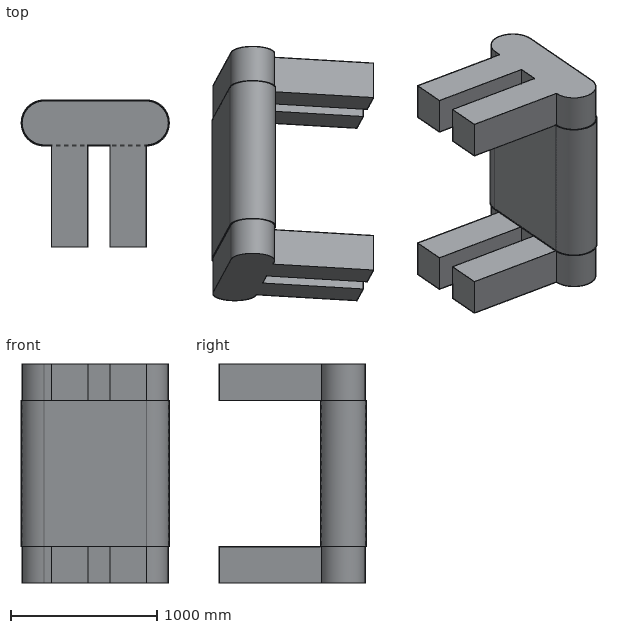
import cadquery as cq

total_height = 1500.0
sleeve_width = 1014.0
sleeve_thickness = 7.0
core_thickness = 300.0
arm_width = 250.0
arm_height = 250.0
arm_gap = 150.0

core_width = sleeve_width - 2 * sleeve_thickness
core_reach = core_width
arm_tip_y = core_thickness / 2 - core_reach
sleeve_height = total_height - 2 * arm_height
flat_end_x = (core_width - core_thickness) / 2
right_arm_x = flat_end_x - arm_width / 2
left_arm_x = right_arm_x - arm_width - arm_gap


def rounded_column(width, thickness, height, base_z):
    """Upright column with semicircular ends, centred on the Z axis."""
    return cq.Workplane("XY").workplane(offset=base_z).slot2D(width, thickness).extrude(height)


def arm(center_x, base_z):
    """Rectangular arm running from the column's mid-plane to its tip in -Y."""
    return (
        cq.Workplane("XY")
        .box(arm_width, -arm_tip_y, arm_height, centered=(True, False, False))
        .translate((center_x, arm_tip_y, base_z))
    )


def make_core():
    """Column with a pair of arms at the bottom and another at the top."""
    core = rounded_column(core_width, core_thickness, total_height, 0)
    for base_z in (0, total_height - arm_height):
        for center_x in (left_arm_x, right_arm_x):
            core = core.union(arm(center_x, base_z))
    return core


def make_sleeve():
    """Thin tube wrapped around the column between the arm pairs."""
    outer_thickness = core_thickness + 2 * sleeve_thickness
    outer = rounded_column(sleeve_width, outer_thickness, sleeve_height, arm_height)
    bore = rounded_column(core_width, core_thickness, sleeve_height, arm_height)
    return outer.cut(bore)


core = make_core()
sleeve = make_sleeve()
result = cq.Compound.makeCompound([core.val(), sleeve.val()])